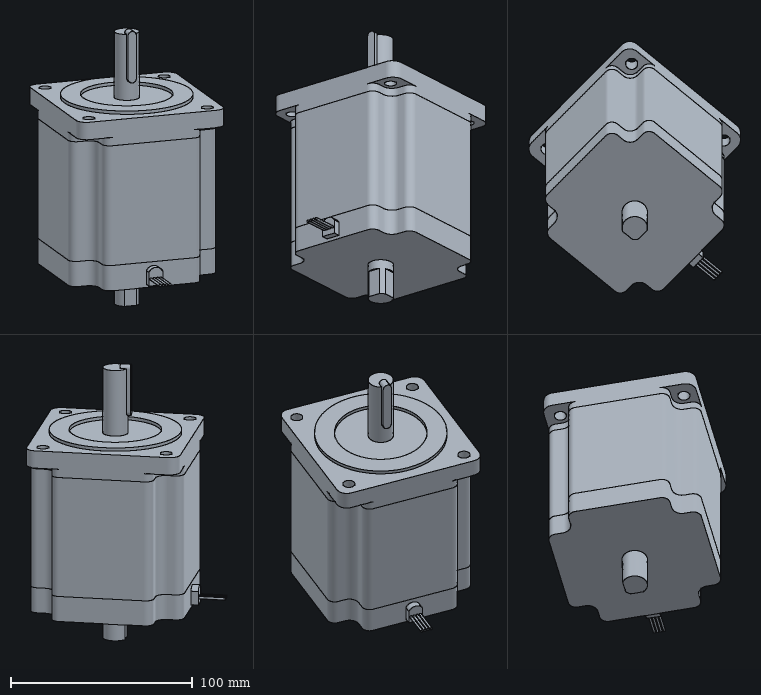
import cadquery as cq
import math

overall_height = 157.4

body_width = 86.0
half_width = body_width / 2
rear_cap_height = 14.5
stator_height = 68.3
front_skirt_height = 4.7
flange_thickness = 9.9
flange_base_z = rear_cap_height + stator_height
flange_bottom_z = flange_base_z + front_skirt_height
flange_top_z = flange_bottom_z + flange_thickness
flange_corner_radius = 6.0

notch_depth = 14.5
notch_edge_radius = 4.5
notch_root_radius = 5.7

mount_hole_diameter = 6.6
mount_hole_centers = [(-34.1, 34.3), (35.5, 34.3), (-34.1, -35.4), (34.8, -34.8)]

pilot_diameter = 73.0
pilot_height = 1.9
recess_diameter = 51.0

shaft_diameter = 14.0
shaft_radius = shaft_diameter / 2
front_shaft_top_z = 135.0
rear_shaft_length = 20.3
flat_depth = 1.0
flat_length = 15.1

key_width = 4.9
key_length = 29.5
key_top_z = overall_height - rear_shaft_length
key_inner_x = 3.0
key_outer_x = 8.8

outlet_width = 8.2
outlet_bottom_z = 1.9
outlet_shoulder_z = 9.8
outlet_top_z = 12.3
outlet_end_x = half_width + 4.1

wire_count = 4
wire_diameter = 1.4
wire_pitch = 1.9
wire_z = 5.8
wire_end_x = half_width + 18.9


def corner_notch():
    """Vertical cutter for the corner at -X -Y."""
    wall = half_width - notch_depth
    root_center = wall + notch_root_radius
    root_mid = root_center - notch_root_radius * math.sqrt(0.5)
    edge_start = half_width - notch_edge_radius
    edge_end = wall - notch_edge_radius
    edge_bulge = notch_edge_radius * math.sqrt(0.5)
    edge_mid_out = edge_start + edge_bulge
    edge_mid_in = edge_end + edge_bulge
    return (
        cq.Workplane("XY")
        .moveTo(-half_width, -edge_end)
        .threePointArc((-edge_mid_out, -edge_mid_in), (-edge_start, -wall))
        .lineTo(-root_center, -wall)
        .threePointArc((-root_mid, -root_mid), (-wall, -root_center))
        .lineTo(-wall, -edge_start)
        .threePointArc((-edge_mid_in, -edge_mid_out), (-edge_end, -half_width))
        .lineTo(-half_width, -half_width)
        .close()
        .extrude(flange_bottom_z)
    )


def notched_block(bottom_z, height):
    """Square block with all four corners notched."""
    block = cq.Workplane("XY", origin=(0, 0, bottom_z)).rect(body_width, body_width).extrude(height)
    for quarter in range(4):
        block = block.cut(corner_notch().rotate((0, 0, 0), (0, 0, 1), 90 * quarter))
    return block


def shaft_cylinder(bottom_z, top_z):
    """Plain round shaft between two heights."""
    return cq.Workplane("XY", origin=(0, 0, bottom_z)).circle(shaft_radius).extrude(top_z - bottom_z)


def shaft_key():
    """Round-ended key lying along Z, with its thickness along X."""
    return (
        cq.Workplane("YZ", origin=(key_inner_x, 0, key_top_z - key_length / 2))
        .slot2D(key_length, key_width, 90)
        .extrude(key_outer_x - key_inner_x)
    )


def make_front_cap():
    """Mounting flange with its skirt, pilot ring, front shaft end and key."""
    flange = (
        cq.Workplane("XY", origin=(0, 0, flange_bottom_z))
        .rect(body_width, body_width)
        .extrude(flange_thickness)
        .edges("|Z")
        .fillet(flange_corner_radius)
    )
    pilot_ring = (
        cq.Workplane("XY", origin=(0, 0, flange_top_z))
        .circle(pilot_diameter / 2)
        .circle(recess_diameter / 2)
        .extrude(pilot_height)
    )
    mount_holes = (
        cq.Workplane("XY", origin=(0, 0, flange_bottom_z))
        .pushPoints(mount_hole_centers)
        .circle(mount_hole_diameter / 2)
        .extrude(flange_thickness)
    )
    skirt = notched_block(flange_base_z, front_skirt_height)
    cap = skirt.union(flange).union(pilot_ring).cut(mount_holes)
    return cap.union(shaft_cylinder(flange_top_z, front_shaft_top_z)).union(shaft_key())


def make_stator():
    """Laminated middle section between the two caps."""
    return notched_block(rear_cap_height, stator_height)


def rear_shaft():
    """Rear shaft end with two flats at right angles, facing +X and +Y."""
    shaft = shaft_cylinder(-rear_shaft_length, 0)
    for offset in [(shaft_diameter - flat_depth, 0), (0, shaft_diameter - flat_depth)]:
        beyond_flat = (
            cq.Workplane("XY", origin=(0, 0, -rear_shaft_length))
            .center(*offset)
            .rect(shaft_diameter, shaft_diameter)
            .extrude(flat_length)
        )
        shaft = shaft.cut(beyond_flat)
    return shaft


def cable_outlet():
    """Outlet block with an arched top."""
    half_outlet = outlet_width / 2
    return (
        cq.Workplane("YZ", origin=(half_width, 0, 0))
        .moveTo(-half_outlet, outlet_bottom_z)
        .lineTo(half_outlet, outlet_bottom_z)
        .lineTo(half_outlet, outlet_shoulder_z)
        .threePointArc((0, outlet_top_z), (-half_outlet, outlet_shoulder_z))
        .close()
        .extrude(outlet_end_x - half_width)
    )


def lead_wires():
    """Row of wires along Y leaving the outlet toward +X."""
    wires = cq.Workplane("YZ", origin=(outlet_end_x, 0, wire_z)).rarray(wire_pitch, 1.5, wire_count, 1)
    return wires.circle(wire_diameter / 2).extrude(wire_end_x - outlet_end_x)


def make_rear_cap():
    """Rear end of the housing with its shaft end, cable outlet and wires."""
    return notched_block(0, rear_cap_height).union(rear_shaft()).union(cable_outlet()).union(lead_wires())


front_cap = make_front_cap()
stator = make_stator()
rear_cap = make_rear_cap()

result = cq.Compound.makeCompound([front_cap.val(), stator.val(), rear_cap.val()])